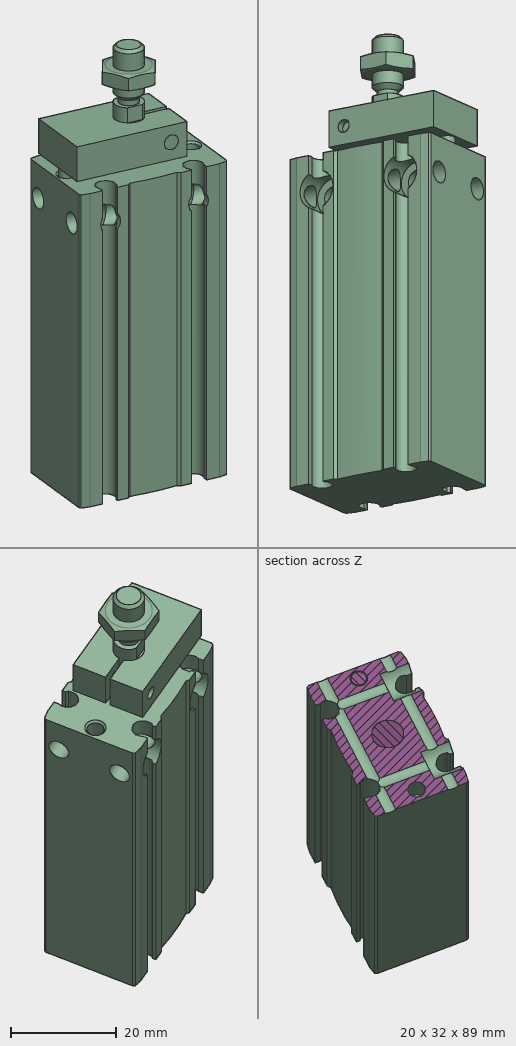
import cadquery as cq
import math

housing_height = 65.1
plate_bottom = 66.8
plate_top = 74.05
neck_bottom = 77.2
thread_bottom = 79.2
nut_bottom = 81.6
nut_height = 3.2
rod_top = 89.0

housing_width = 20.0
housing_depth = 32.0
half_width = housing_width / 2
half_depth = housing_depth / 2
corner_flat_x = 9.3
corner_edge = (9.7, 15.75)
corner_taper_y = 14.1

groove_y = 9.5
groove_center_x = 8.0
groove_diameter = 4.0
groove_outer_wall_y = 11.3
groove_lip_y = 8.0
groove_inner_wall_y = 7.6
lip_depth = 0.7
lip_slope_depth = 1.1

panel_step_y = 5.7
panel_edge = (9.5, 5.1)
panel_crest_x = 9.8

mount_hole_diameter = 4.3
mount_hole_z = 58.0
front_hole_x = 6.5
counterbore_diameter = 7.5
counterbore_depth = 6.0

top_hole_y = 13.5
top_hole_diameter = 3.2
top_hole_mouth = 4.0
top_hole_depth = 13.35

rod_diameter = 6.0
rod_insertion = 17.8
neck_diameter = 4.0
flats_width = 5.0
rod_tip_chamfer = 0.6

nut_across_flats = 10.0
nut_face_diameter = 8.9
nut_chamfer_angle = 15.0
nut_turn = 30.0

plate_width = 14.9
plate_front_y = -15.4
plate_back_y = 8.45
slot_width = 1.0
guide_rod_diameter = 3.0

bolt_diameter = 3.0
bolt_y = 5.1
bolt_z = 70.5
bolt_pilot_diameter = 2.5
bolt_recess = 1.5


def cylinder(diameter, bottom, top, x=0.0, y=0.0):
    """Upright cylinder between two heights."""
    return cq.Workplane("XY", origin=(x, y, bottom)).circle(diameter / 2).extrude(top - bottom)


def turned(profile):
    """Solid of revolution about the Z axis from (radius, height) points."""
    return cq.Workplane("XZ").polyline(profile).close().revolve(360, (0, 0), (0, 1))


def x_cylinder(diameter, start_x, end_x, y, z):
    """Cylinder along X between two X positions."""
    return cq.Workplane("YZ", origin=(start_x, y, z)).circle(diameter / 2).extrude(end_x - start_x)


def housing_blank():
    """Extruded body with tapered corners and a gently bulged panel on each X side."""
    quarter = [
        (corner_flat_x, half_depth),
        corner_edge,
        (half_width, corner_taper_y),
        (half_width, panel_step_y),
        panel_edge,
    ]
    right_front = [(x, -y) for x, y in quarter]
    right_back = quarter[::-1]
    left_back = [(-x, y) for x, y in quarter]
    left_front = [(-x, -y) for x, y in quarter[::-1]]

    outline = cq.Workplane("XY").polyline(right_front)
    outline = outline.threePointArc((panel_crest_x, 0), panel_edge)
    for point in right_back[1:] + left_back:
        outline = outline.lineTo(*point)
    outline = outline.threePointArc((-panel_crest_x, 0), left_front[0])
    for point in left_front[1:]:
        outline = outline.lineTo(*point)
    return outline.close().extrude(housing_height)


def groove_cutter():
    """Groove of the +X, +Y quarter: a lipped mouth that opens into a round bottom."""
    mouth = [
        (half_width, groove_outer_wall_y),
        (groove_center_x, groove_outer_wall_y),
        (groove_center_x, groove_inner_wall_y),
        (half_width - lip_slope_depth, groove_inner_wall_y),
        (half_width - lip_depth, groove_lip_y),
        (half_width, groove_lip_y),
    ]
    mouth_cut = cq.Workplane("XY").polyline(mouth).close().extrude(housing_height)
    return mouth_cut.union(cylinder(groove_diameter, 0, housing_height, groove_center_x, groove_y))


def top_hole_cutter(y):
    """Blind hole from the top face with a 45 degree countersink."""
    hole_radius = top_hole_diameter / 2
    mouth_radius = top_hole_mouth / 2
    bottom = housing_height - top_hole_depth
    cone_bottom = housing_height - (mouth_radius - hole_radius)
    hole = turned([
        (0, bottom),
        (hole_radius, bottom),
        (hole_radius, cone_bottom),
        (mouth_radius, housing_height),
        (0, housing_height),
    ])
    return hole.translate((0, y, 0))


def make_housing():
    """Cylinder housing with grooves, mounting holes, top holes and the piston rod bore."""
    body = housing_blank()

    groove = groove_cutter()
    groove_pair = groove.union(groove.mirror("XZ"))
    body = body.cut(groove_pair).cut(groove_pair.mirror("YZ"))

    counterbore_end = counterbore_depth - half_width
    for side in (-1, 1):
        hole_y = side * groove_y
        side_hole = x_cylinder(mount_hole_diameter, -half_width, half_width, hole_y, mount_hole_z)
        counterbore = x_cylinder(counterbore_diameter, -half_width, counterbore_end, hole_y, mount_hole_z)
        front_plane = cq.Workplane("XZ", origin=(side * front_hole_x, 0, mount_hole_z))
        front_hole = front_plane.circle(mount_hole_diameter / 2).extrude(half_depth, both=True)
        body = body.cut(side_hole).cut(counterbore).cut(front_hole)
        body = body.cut(top_hole_cutter(side * top_hole_y))

    return body.cut(cylinder(rod_diameter, housing_height - rod_insertion, housing_height))


def make_piston_rod():
    """Piston rod: shank, wrench flats, neck and chamfered threaded end."""
    shank = cylinder(rod_diameter, housing_height - rod_insertion, plate_top)
    flats = cylinder(rod_diameter, plate_top, neck_bottom)
    flats = flats.intersect(cq.Workplane("XY").box(flats_width, rod_diameter, 2 * rod_top))
    rod_radius = rod_diameter / 2
    neck_radius = neck_diameter / 2
    neck_top = thread_bottom - (rod_radius - neck_radius)
    threaded_end = turned([
        (0, neck_bottom),
        (neck_radius, neck_bottom),
        (neck_radius, neck_top),
        (rod_radius, thread_bottom),
        (rod_radius, rod_top - rod_tip_chamfer),
        (rod_radius - rod_tip_chamfer, rod_top),
        (0, rod_top),
    ])
    return shank.union(flats).union(threaded_end)


def make_nut():
    """Hexagon nut with corners pointing along Y, chamfered on both faces."""
    corner_radius = nut_across_flats / math.sqrt(3)
    face_radius = nut_face_diameter / 2
    drop = (corner_radius - face_radius) * math.tan(math.radians(nut_chamfer_angle))
    hexagon = cq.Workplane("XY").polygon(6, 2 * corner_radius).extrude(nut_height)
    hexagon = hexagon.rotate((0, 0, 0), (0, 0, 1), nut_turn)
    envelope = turned([
        (0, 0),
        (face_radius, 0),
        (corner_radius, drop),
        (corner_radius, nut_height - drop),
        (face_radius, nut_height),
        (0, nut_height),
    ])
    nut = hexagon.intersect(envelope).translate((0, 0, nut_bottom))
    return nut.cut(cylinder(rod_diameter, nut_bottom, nut_bottom + nut_height))


def make_bolt():
    """Clamp bolt that ends short of the -X side of the guide plate."""
    return x_cylinder(bolt_diameter, bolt_recess - plate_width / 2, plate_width / 2, bolt_y, bolt_z)


def make_guide_plate():
    """Plate clamped on the piston rod, with the guide rod that runs in the housing."""
    plate_depth = plate_back_y - plate_front_y
    plate_height = plate_top - plate_bottom
    plate = cq.Workplane("XY", origin=(0, (plate_back_y + plate_front_y) / 2, plate_bottom))
    plate = plate.rect(plate_width, plate_depth).extrude(plate_height)

    slot = cq.Workplane("XY", origin=(0, plate_back_y / 2, plate_bottom))
    plate = plate.cut(slot.rect(slot_width, plate_back_y).extrude(plate_height))
    plate = plate.cut(cylinder(rod_diameter, plate_bottom, plate_top))

    plate = plate.cut(make_bolt())
    plate = plate.cut(x_cylinder(bolt_pilot_diameter, -plate_width / 2, 0, bolt_y, bolt_z))

    guide_bottom = housing_height - top_hole_depth
    return plate.union(cylinder(guide_rod_diameter, guide_bottom, plate_bottom, 0, -top_hole_y))


housing = make_housing()
piston_rod = make_piston_rod()
nut = make_nut()
guide_plate = make_guide_plate()
clamp_bolt = make_bolt()

result = cq.Compound.makeCompound([
    housing.val(),
    piston_rod.val(),
    nut.val(),
    guide_plate.val(),
    clamp_bolt.val(),
])